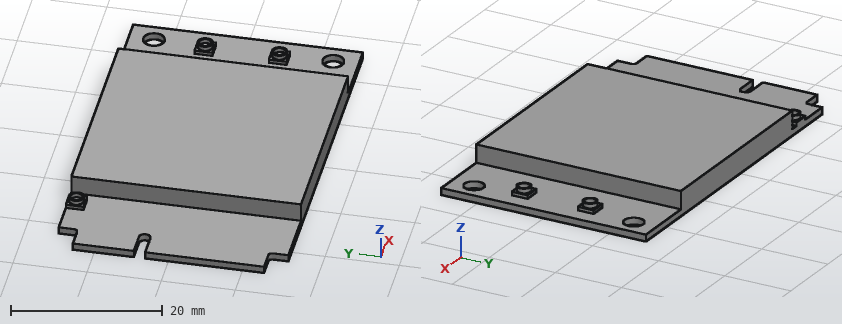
import cadquery as cq

BOARD_LENGTH = 50.8
BOARD_WIDTH = 31.0
BOARD_THICKNESS = 1.0

NOTCH_LENGTH = 3.25
NOTCH_WIDTH = 2.6
NOTCH_RADIUS = 0.5

SLOT_DEPTH = 4.05
SLOT_WIDTH = 1.5
SLOT_Y = -11.6

HOLE_DIAMETER = 2.85
HOLE_X = 48.0
HOLE_EDGE_DISTANCE = 3.4

TOTAL_HEIGHT = 3.65
SHIELD_LEFT = 11.35
SHIELD_RIGHT = 41.35

BASE_SIZE = 2.4
BASE_HEIGHT = 0.5
BARREL_HEIGHT = 0.65
BARREL_DIAMETER = 2.0
BORE_DIAMETER = 1.65
SOCKET_CENTERS = [
    (9.0, -BASE_SIZE / 2),
    (47.1, -10.5),
    (47.1, -20.5),
]


def make_board():
    tongue_back = -NOTCH_WIDTH
    tongue_front = NOTCH_WIDTH - BOARD_WIDTH
    outline = [
        (NOTCH_LENGTH, 0),
        (BOARD_LENGTH, 0),
        (BOARD_LENGTH, -BOARD_WIDTH),
        (NOTCH_LENGTH, -BOARD_WIDTH),
        (NOTCH_LENGTH, tongue_front),
        (0, tongue_front),
        (0, tongue_back),
        (NOTCH_LENGTH, tongue_back),
    ]
    board = cq.Workplane("XY").polyline(outline).close().extrude(BOARD_THICKNESS)
    for notch_y in (tongue_back, tongue_front):
        corner = cq.NearestToPointSelector((NOTCH_LENGTH, notch_y, BOARD_THICKNESS / 2))
        board = board.edges("|Z").edges(corner).fillet(NOTCH_RADIUS)

    slot = (
        cq.Workplane("XY")
        .center(0, SLOT_Y)
        .slot2D(2 * SLOT_DEPTH, SLOT_WIDTH)
        .extrude(BOARD_THICKNESS)
    )
    hole_centers = [
        (HOLE_X, -HOLE_EDGE_DISTANCE),
        (HOLE_X, HOLE_EDGE_DISTANCE - BOARD_WIDTH),
    ]
    holes = (
        cq.Workplane("XY")
        .pushPoints(hole_centers)
        .circle(HOLE_DIAMETER / 2)
        .extrude(BOARD_THICKNESS)
    )
    return board.cut(slot).cut(holes)


def make_shield():
    return (
        cq.Workplane("XY", origin=(SHIELD_LEFT, -BOARD_WIDTH, 0))
        .box(SHIELD_RIGHT - SHIELD_LEFT, BOARD_WIDTH, TOTAL_HEIGHT, centered=False)
    )


def make_socket(x, y):
    base = (
        cq.Workplane("XY", origin=(x, y, BOARD_THICKNESS))
        .rect(BASE_SIZE, BASE_SIZE)
        .extrude(BASE_HEIGHT)
    )
    barrel = (
        cq.Workplane("XY", origin=(x, y, BOARD_THICKNESS + BASE_HEIGHT))
        .circle(BARREL_DIAMETER / 2)
        .circle(BORE_DIAMETER / 2)
        .extrude(BARREL_HEIGHT)
    )
    return base.union(barrel)


result = make_board().union(make_shield())
for socket_x, socket_y in SOCKET_CENTERS:
    result = result.union(make_socket(socket_x, socket_y))